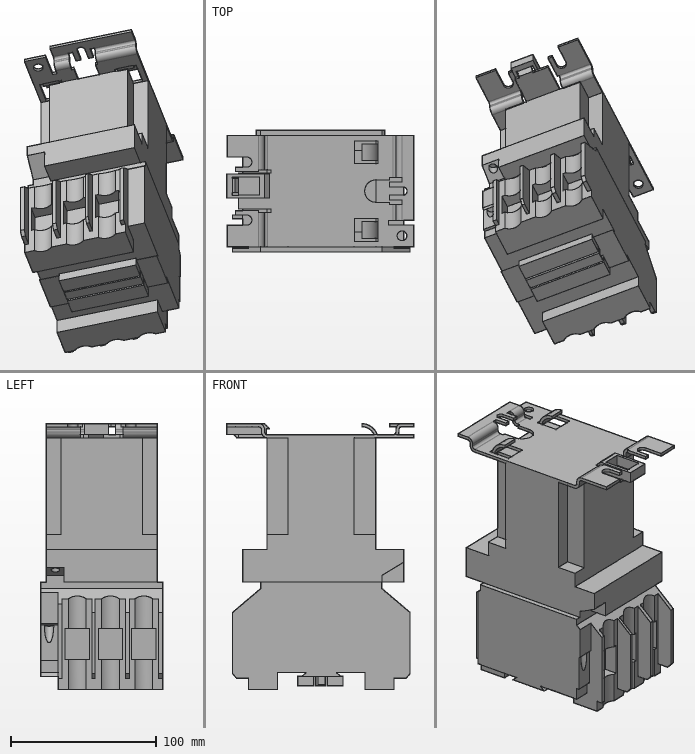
import cadquery as cq
import math


base_width = 84.0
base_half_y = base_width / 2
base_half_x = 61.1
base_top_z = 74.0
neck_half_x = 41.7
neck_z = 69.5
shoulder_z = 53.0
corner_chamfer_x = 3.0
corner_chamfer_z = 3.3
foot_outer_x = 50.1
foot_inner_x = 30.0
foot_top_z = 7.7
rail_recess_z = 11.7
dovetail_bottom_z = 9.0
dovetail_top_half_x = 10.5
dovetail_bottom_half_x = 13.7

terminal_first_y = 16.8
terminal_pitch = 22.9
terminal_count = 3
groove_width = 12.3
groove_depth = 2.4
screw_pocket_width = 16.7
screw_pocket_depth = 9.2
screw_pocket_bottom_z = 20.7
screw_pocket_top_z = 42.0
bay_ranges_y = [(6.5, 27.3), (-16.3, 4.5), (-39.2, -19.0)]
end_wall_x = 54.4

aux_start_y = 30.0
aux_left_x = -44.8
aux_right_x = 43.7
aux_lower_left_x = -43.5
aux_lower_top_z = 45.5
aux_overhang_drop = 1.1
aux_foot_left_x = -41.7
aux_foot_top_z = 20.0
screw_groove_y = 36.2
screw_groove_radius = 3.3
screw_groove_top_z = 44.5
screw_groove_tip_z = 32.4

clip_bottom_z = 2.5
clip_half_y = 27.5
clip_ranges_x = [(-16.3, -5.1), (-3.8, 3.1), (4.2, 15.0)]
clip_window_half_x = 2.4
clip_window_bottom_z = 3.5
clip_window_depth = 1.8

body_width = 76.7
body_half_y = body_width / 2
flange_left_x = -54.2
flange_right_x = 56.7
flange_top_z = 96.5
relief_width = 12.5
relief_inner_z = 78.5
left_relief_z = 84.2
right_relief_z = 87.7
relief_hole_radius = 3.0
relief_hole_x = -50.0
relief_hole_y = 31.8
relief_hole_top_z = 87.8
column_half_x = 37.5
column_notch_left_x = -23.0
column_notch_right_x = 22.5
column_notch_y = 28.0
column_notch_z = 106.9

sheet = 2.2
top_z = 183.0
plate_bottom_z = 173.1
plate_top_z = plate_bottom_z + sheet
ledge_bottom_z = top_z - sheet
plate_left_x = -64.8
plate_right_x = 63.7
left_web_x = -41.2
right_web_x = 51.2
bend_inner_radius = 2.0
bend_outer_radius = bend_inner_radius + sheet

tongue_left_x = -57.1
tongue_half_y = 12.5
tip_run = 2.2
tip_slope = 1.2
tip_lower_start_x = -58.2
tip_lower_end_x = -61.1
tongue_tip_y = (-1.3, 9.0)
bend_relief_half_y = 14.6
bend_relief_right_x = left_web_x + sheet + bend_outer_radius
finger_left_x = -59.1
finger_inner_half_y = 13.4
left_slot_center_x = -51.2
left_slot_y = 20.0
left_slot_radius = 3.5
keyhole_x = 37.5
keyhole_radius = 7.7
right_relief_x = 47.0
right_relief_half_y = 9.3
right_ledge_x = 55.5
right_finger_half_y = 6.2
right_slot_radius = 2.7
right_slot_end_x = 59.0
ear_slot_left_x = 46.3
ear_slot_y = (-23.2, -20.1)
ear_hole_x = 55.5
ear_hole_y = -30.7
ear_hole_radius = 3.3

window_x = (22.9, 39.0)
window_center_y = 26.7
window_width = 15.5
tab_left_x = 27.8
tab_width = 11.5
tab_radius = 11.3

latch_x = (-65.1, -37.7)
latch_y = (-4.8, 11.9)
latch_opening_x = (-61.1, -42.5)
latch_opening_y = (-2.7, 9.7)
lip_start_x = -39.2
lip_end_x = -35.5
lip_drop = 3.7

overlap = 0.4
clearance = 1.8


def box(x_range, y_range, z_range):
    """Axis-aligned block given by its limits along each axis."""
    size = [b - a for a, b in (x_range, y_range, z_range)]
    return cq.Workplane("XY").box(*size, centered=False).translate((x_range[0], y_range[0], z_range[0]))


def prism(points, y_range):
    """Extrude an XZ outline between two Y positions."""
    outline = cq.Workplane("XZ", origin=(0, y_range[1], 0)).polyline(points).close()
    return outline.extrude(y_range[1] - y_range[0])


def vertical_hole(x, y, radius, bottom_z, height):
    return cq.Workplane("XY", origin=(x, y, bottom_z)).circle(radius).extrude(height)


def base_profile():
    """Base side outline: sloped shoulders, two feet and the rail dovetail."""
    half = [
        (dovetail_bottom_half_x, dovetail_bottom_z),
        (dovetail_top_half_x, rail_recess_z),
        (foot_inner_x, rail_recess_z),
        (foot_inner_x, 0),
        (foot_outer_x, 0),
        (foot_outer_x, foot_top_z),
        (base_half_x - corner_chamfer_x, foot_top_z),
        (base_half_x, foot_top_z + corner_chamfer_z),
        (base_half_x, shoulder_z),
        (neck_half_x, neck_z),
        (neck_half_x, base_top_z),
    ]
    return half + [(-x, z) for x, z in reversed(half)]


def terminal_cutter():
    """Bays, wire grooves and screw pockets removed from the -X end of the base."""
    outside_x = -base_half_x - clearance
    cutter = box((outside_x, -end_wall_x), (bay_ranges_y[0][1], aux_start_y), (0, neck_z))
    for bay in bay_ranges_y:
        cutter = cutter.union(box((outside_x, -foot_outer_x), bay, (0, neck_z)))
    groove_radius = ((groove_width / 2) ** 2 + groove_depth ** 2) / (2 * groove_depth)
    groove_axis_x = -foot_outer_x + groove_depth - groove_radius
    for i in range(terminal_count):
        y = terminal_first_y - i * terminal_pitch
        half_groove = groove_width / 2
        half_pocket = screw_pocket_width / 2
        groove = vertical_hole(groove_axis_x, y, groove_radius, 0, neck_z).intersect(
            box((-foot_outer_x - overlap, 0), (y - half_groove, y + half_groove), (0, neck_z))
        )
        pocket = box(
            (-foot_outer_x - overlap, -foot_outer_x + screw_pocket_depth),
            (y - half_pocket, y + half_pocket),
            (screw_pocket_bottom_z, screw_pocket_top_z),
        )
        cutter = cutter.union(groove).union(pocket)
    return cutter


def make_base():
    base = prism(base_profile(), (-base_half_y, base_half_y))
    aux_y = (aux_start_y, base_half_y + clearance)
    far_x = base_half_x + clearance
    base = base.cut(box((aux_right_x, far_x), aux_y, (0, neck_z)))
    base = base.cut(box((foot_inner_x - overlap, far_x), aux_y, (0, rail_recess_z)))
    aux_waste = [
        (-far_x, neck_z),
        (aux_left_x, neck_z),
        (aux_left_x, aux_lower_top_z),
        (aux_lower_left_x, aux_lower_top_z - aux_overhang_drop),
        (aux_lower_left_x, aux_foot_top_z),
        (aux_foot_left_x, aux_foot_top_z),
        (aux_foot_left_x, rail_recess_z),
        (-foot_inner_x + overlap, rail_recess_z),
        (-foot_inner_x + overlap, 0),
        (-far_x, 0),
    ]
    base = base.cut(prism(aux_waste, aux_y))
    groove_length = screw_groove_top_z - screw_groove_tip_z
    tilt = math.asin(screw_groove_radius / groove_length)
    screw_groove = cq.Workplane("XY").add(
        cq.Solid.makeCylinder(
            screw_groove_radius,
            groove_length,
            cq.Vector(aux_lower_left_x, screw_groove_y, screw_groove_top_z),
            cq.Vector(-math.sin(tilt), 0, -math.cos(tilt)),
        )
    )
    base = base.cut(screw_groove)
    terminals = terminal_cutter()
    return base.cut(terminals).cut(terminals.mirror("YZ"))


def make_clip():
    clip_y = (-clip_half_y, clip_half_y)
    clip = cq.Workplane("XY")
    for x_range in clip_ranges_x:
        clip = clip.union(box(x_range, clip_y, (clip_bottom_z, dovetail_bottom_z + overlap)))
    window = box(
        (-clip_window_half_x, clip_window_half_x),
        (-clip_half_y, -clip_half_y + clip_window_depth),
        (clip_window_bottom_z, dovetail_bottom_z),
    )
    return clip.cut(window)


def make_body():
    body_y = (-body_half_y, body_half_y)
    flange = box((flange_left_x, flange_right_x), body_y, (base_top_z, flange_top_z))
    corners = (
        (flange_left_x, -neck_half_x, left_relief_z, (body_half_y - relief_width, body_half_y)),
        (flange_right_x, neck_half_x, right_relief_z, (-body_half_y, -body_half_y + relief_width)),
    )
    for outer_x, inner_x, outer_z, y_range in corners:
        outline = [(inner_x, base_top_z), (inner_x, relief_inner_z), (outer_x, outer_z), (outer_x, base_top_z)]
        flange = flange.cut(prism(outline, y_range))
    flange = flange.cut(
        vertical_hole(
            relief_hole_x, relief_hole_y, relief_hole_radius, base_top_z, relief_hole_top_z - base_top_z
        )
    )
    column = box((-column_half_x, column_half_x), body_y, (flange_top_z, plate_bottom_z))
    notch_z = (column_notch_z, plate_bottom_z)
    for x_range in ((-column_half_x, column_notch_left_x), (column_notch_right_x, column_half_x)):
        for y_range in ((-body_half_y, -column_notch_y), (column_notch_y, body_half_y)):
            column = column.cut(box(x_range, y_range, notch_z))
    return flange.union(column)


def joggle(web_x, end_x, y_range):
    """Raised ledge that reaches end_x, joined to the plate by a rounded S-bend at web_x."""
    outward = math.copysign(1, end_x)
    inner_x = web_x if outward > 0 else web_x + sheet
    outer_x = inner_x + outward * sheet
    start_x = inner_x - outward * bend_outer_radius
    outline = [
        (start_x, plate_bottom_z),
        (outer_x, plate_bottom_z),
        (outer_x, ledge_bottom_z),
        (end_x, ledge_bottom_z),
        (end_x, top_z),
        (inner_x, top_z),
        (inner_x, plate_top_z),
        (start_x, plate_top_z),
    ]
    strip = prism(outline, y_range)
    for x, z, radius in (
        (outer_x, plate_bottom_z, bend_outer_radius),
        (inner_x, top_z, bend_outer_radius),
        (outer_x, ledge_bottom_z, bend_inner_radius),
        (inner_x, plate_top_z, bend_inner_radius),
    ):
        strip = strip.edges(cq.selectors.NearestToPointSelector((x, sum(y_range) / 2, z))).fillet(radius)
    return strip


def left_ledges():
    """Two raised ledges on the -X end, each with an open slot and a short inner finger."""
    ledge = joggle(left_web_x, plate_left_x, (finger_inner_half_y, body_half_y))
    ledge_z = (ledge_bottom_z, top_z)
    slot_y = (left_slot_y - left_slot_radius, left_slot_y + left_slot_radius)
    ledge = ledge.cut(box((plate_left_x, left_slot_center_x), slot_y, ledge_z))
    ledge = ledge.cut(vertical_hole(left_slot_center_x, left_slot_y, left_slot_radius, ledge_bottom_z, sheet))
    ledge = ledge.cut(box((plate_left_x, finger_left_x), (finger_inner_half_y, slot_y[1]), ledge_z))
    bend_start_x = left_web_x - bend_inner_radius
    relief_y = (finger_inner_half_y, bend_relief_half_y)
    ledge = ledge.cut(box((bend_start_x, bend_relief_right_x), relief_y, (plate_bottom_z, top_z)))
    return ledge.union(ledge.mirror("XZ"))


def right_ledge():
    """Raised ledge on the +X end with two fingers beside a round-ended slot."""
    all_z = (plate_bottom_z, top_z)
    ledge = joggle(right_web_x, plate_right_x, (ear_slot_y[1], body_half_y))
    relief_y = (-right_relief_half_y, right_relief_half_y)
    ledge = ledge.cut(box((right_relief_x, right_ledge_x), relief_y, all_z))
    ledge_z = (ledge_bottom_z, top_z)
    fingers_y = (-right_finger_half_y, right_finger_half_y)
    ledge = ledge.union(box((right_relief_x, right_ledge_x + overlap), fingers_y, ledge_z))
    slot_center_x = right_slot_end_x - right_slot_radius
    slot_y = (-right_slot_radius, right_slot_radius)
    ledge = ledge.cut(box((right_relief_x, slot_center_x), slot_y, ledge_z))
    return ledge.cut(vertical_hole(slot_center_x, 0, right_slot_radius, ledge_bottom_z, sheet))


def spring_tab(center_y):
    """Curved tab rising from the +X edge of a window and levelling out at its free end."""
    axis_z = top_z - tab_radius
    inner_radius = tab_radius - sheet
    y_back = center_y + tab_width / 2
    ring = (
        cq.Workplane("XZ", origin=(tab_left_x, y_back, axis_z))
        .circle(tab_radius)
        .circle(inner_radius)
        .extrude(tab_width)
    )
    limits = box(
        (tab_left_x, window_x[1] + overlap), (y_back - tab_width, y_back), (plate_bottom_z, top_z)
    )
    return ring.intersect(limits)


def make_plate():
    sheet_z = (plate_bottom_z, plate_top_z)
    plate_y = (-body_half_y, body_half_y)
    right_start_x = right_web_x - bend_inner_radius
    plate = box((bend_relief_right_x, right_start_x), plate_y, sheet_z)
    plate = plate.union(box((right_start_x, plate_right_x), (-body_half_y, ear_slot_y[0]), sheet_z))
    plate = plate.cut(vertical_hole(ear_hole_x, ear_hole_y, ear_hole_radius, plate_bottom_z, sheet))
    plate = plate.cut(box((ear_slot_left_x, plate_right_x), ear_slot_y, sheet_z))
    plate = plate.cut(vertical_hole(keyhole_x, 0, keyhole_radius, plate_bottom_z, sheet))
    plate = plate.cut(box((keyhole_x, plate_right_x), (-keyhole_radius, keyhole_radius), sheet_z))
    plate = plate.cut(
        box((right_relief_x, plate_right_x), (-right_relief_half_y, right_relief_half_y), sheet_z)
    )
    for center_y in (-window_center_y, window_center_y):
        window_y = (center_y - window_width / 2, center_y + window_width / 2)
        plate = plate.cut(box(window_x, window_y, sheet_z)).union(spring_tab(center_y))
    plate = plate.union(left_ledges()).union(right_ledge())
    return plate.union(make_tongue())


def make_tongue():
    """Flat tongue between the two left ledges, with a narrower tip bent upward."""
    sheet_z = (plate_bottom_z, plate_top_z)
    tongue = box(
        (tongue_left_x, bend_relief_right_x + overlap), (-tongue_half_y, tongue_half_y), sheet_z
    )
    tip = [
        (tongue_left_x, plate_bottom_z),
        (tongue_left_x, plate_top_z),
        (tongue_left_x - tip_run, plate_top_z + tip_slope * tip_run),
        (tip_lower_end_x, plate_bottom_z + tip_slope * (tip_lower_start_x - tip_lower_end_x)),
        (tip_lower_start_x, plate_bottom_z),
    ]
    return tongue.union(prism(tip, tongue_tip_y))


def make_latch():
    """Open rectangular frame with a sloped lip at its inner end."""
    latch_z = (plate_top_z, top_z)
    latch = box(latch_x, latch_y, latch_z)
    lip = [
        (lip_start_x, top_z),
        (lip_end_x, top_z - lip_drop),
        (lip_start_x, top_z - lip_drop),
    ]
    latch = latch.cut(box((lip_start_x, latch_x[1]), latch_y, (top_z - lip_drop, top_z)))
    latch = latch.union(prism(lip, latch_y))
    return latch.cut(box(latch_opening_x, latch_opening_y, latch_z))


contactor = make_base().union(make_clip()).union(make_body())
result = contactor.union(make_plate()).union(make_latch()).solids()